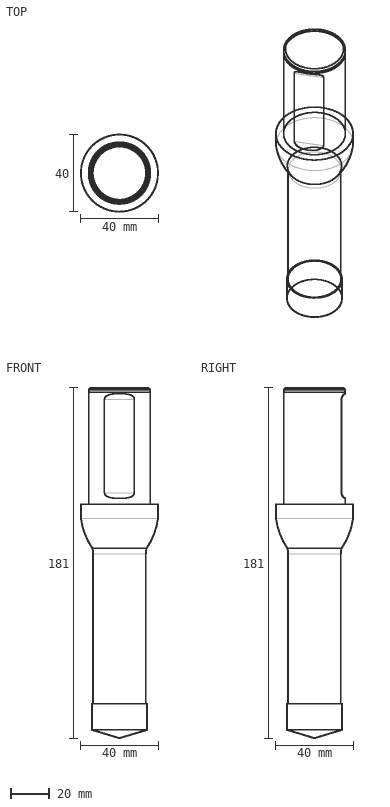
import cadquery as cq
import math


shank_radius = 31.99 / 2
shank_length = 60.0
top_chamfer = 1.0
groove_top_depth = 1.3
groove_bottom_depth = 2.3
groove_depth = 0.2

flat_offset = 14.0
flat_end_gap = 2.7
flat_bottom = flat_end_gap
flat_top = shank_length - flat_end_gap
flat_end_radius = 6.4 / 2

collar_radius = 40.0 / 2
collar_height = 7.3
shoulder_height = 18.4
taper_middle_drop = 5.3
taper_middle_radius = 18.9
neck_radius = 12.0
neck_angle = math.radians(13.5)
stem_radius = 27.4 / 2

total_length = 181.0
tip_radius = 28.58 / 2
tip_cylinder_height = 13.6
point_height = 4.3

point_z = shank_length - total_length
tip_base_z = point_z + point_height
stem_end_z = tip_base_z + tip_cylinder_height
shoulder_top_z = -collar_height
stem_top_z = shoulder_top_z - shoulder_height


def shank_outline(outline):
    """Continue an outline on the axis at the shank top down to the collar."""
    return (
        outline.lineTo(shank_radius - top_chamfer, shank_length)
        .lineTo(shank_radius, shank_length - top_chamfer)
        .lineTo(shank_radius, shank_length - groove_top_depth)
        .lineTo(shank_radius - groove_depth, shank_length - groove_bottom_depth)
        .lineTo(shank_radius, shank_length - groove_bottom_depth)
        .lineTo(shank_radius, 0)
    )


def shoulder_outline(outline):
    """Continue down the collar: a bulging taper, then a concave arc that runs into the stem."""
    neck_center = stem_radius + neck_radius

    def on_neck(angle):
        return (
            neck_center - neck_radius * math.cos(angle),
            stem_top_z + neck_radius * math.sin(angle),
        )

    taper_start = (collar_radius, shoulder_top_z)
    taper_middle = (taper_middle_radius, shoulder_top_z - taper_middle_drop)
    taper_end = on_neck(neck_angle)
    return (
        outline.lineTo(collar_radius, 0)
        .lineTo(*taper_start)
        .threePointArc(taper_middle, taper_end)
        .threePointArc(on_neck(neck_angle / 2), on_neck(0))
    )


def make_flat_cutter():
    """Cutter for the flat: a straight run with both ends rounded up out of the shank."""
    width = 2 * collar_radius
    return (
        cq.Workplane("XY")
        .box(width, 2 * flat_end_radius, flat_top - flat_bottom, centered=(True, False, False))
        .edges("<Y and |X")
        .fillet(flat_end_radius)
        .translate((0, flat_offset, flat_bottom))
    )


def make_drill_body():
    """Shank, collar, shoulder and stem turned as one solid, with the clamping flat cut in."""
    outline = cq.Workplane("XZ").moveTo(0, shank_length)
    outline = shank_outline(outline)
    outline = shoulder_outline(outline)
    outline = outline.lineTo(stem_radius, stem_end_z).lineTo(0, stem_end_z).close()
    turned = outline.revolve(360, (0, 0, 0), (0, 1, 0))
    return turned.cut(make_flat_cutter())


def make_drill_tip():
    """Cylinder with a shallow conical point, seated on the end of the stem."""
    return (
        cq.Workplane("XZ")
        .moveTo(0, stem_end_z)
        .lineTo(tip_radius, stem_end_z)
        .lineTo(tip_radius, tip_base_z)
        .lineTo(0, point_z)
        .close()
        .revolve(360, (0, 0, 0), (0, 1, 0))
    )


drill_body = make_drill_body()
drill_tip = make_drill_tip()

result = cq.Compound.makeCompound([drill_body.val(), drill_tip.val()])